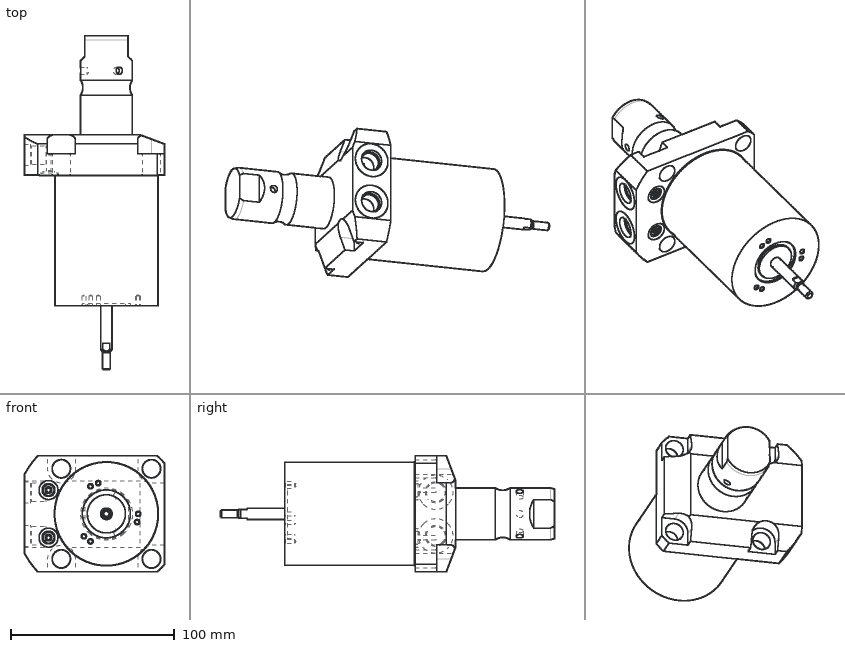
import cadquery as cq
import math


PLATE_LEFT = 50.0
PLATE_RIGHT = 35.5
PLATE_HALF_HEIGHT = 70.87 / 2
PLATE_THICKNESS = 24.7
LEFT_CORNER_WIDTH = 8.1
LEFT_CORNER_HEIGHT = 11.3
LEFT_CORNER_RADIUS = 55.0
RIGHT_CORNER_WIDTH = 4.5
RIGHT_CORNER_HEIGHT = 4.6
RIGHT_CORNER_RADIUS = 47.0
BEVEL_DEPTH = 5.7
BEVEL_WIDTH = 15.2

BOLT_OFFSET = 27.5
BOLT_DIAMETER = 11.0
POCKET_DIAMETER = 17.0
POCKET_FLOOR_Y = 13.0

BARREL_DIAMETER = 63.0
BARREL_FRONT = -79.7
STEP_DIAMETER = 63.5
STEP_HEIGHT = 0.5

FACE_GROOVE_OUTER_DIAMETER = 29.3
FACE_GROOVE_INNER_DIAMETER = 23.3
FACE_GROOVE_DEPTH = 1.5
FACE_HOLE_CIRCLE_RADIUS = 19.4
FACE_HOLE_DIAMETER = 2.4
FACE_HOLE_MOUTH_DIAMETER = 3.2
FACE_HOLE_DEPTH = 6.0
FACE_HOLE_ANGLES = (0, 120, 240)
FACE_HOLE_PAIR_ANGLE = 15.0

ROD_DIAMETER = 7.0
ROD_LENGTH = 27.8
ROD_CHAMFER_LENGTH = 1.2
ROD_CHAMFER_RADIAL = 0.85
ROD_FLAT_WIDTH = 5.5
ROD_FLAT_LENGTH = 5.0
TIP_DIAMETER = 4.9
NECK_DIAMETER = 4.7
NECK_LENGTH = 1.0
TIP_LENGTH = 11.34
TIP_CHAMFER = 0.8

TUBE_DIAMETER = 31.7
TUBE_REAR = 85.0
TUBE_CHAMFER_LENGTH = 2.5
TUBE_CHAMFER_ANGLE = 15.0
TUBE_CHAMFER_RADIAL = TUBE_CHAMFER_LENGTH * math.tan(math.radians(TUBE_CHAMFER_ANGLE))
TUBE_GROOVE_WIDTH = 9.1
TUBE_GROOVE_DEPTH = 1.4
TUBE_GROOVE_CENTRE = TUBE_REAR - 31.7
TUBE_FLAT_WIDTH = 26.5
TUBE_FLAT_LENGTH = 12.7
TUBE_HOLE_DIAMETER = 4.3
TUBE_HOLE_DEPTH = 4.0
TUBE_HOLE_Y = TUBE_REAR - 21.3
TUBE_HOLE_ANGLES = (60, 180, 300)

SIDE_PORT_Z = 13.3
SIDE_PORT_DIAMETER = 11.4
SIDE_PORT_MOUTH_DIAMETER = 12.8
SIDE_PORT_DEPTH = 13.0
SIDE_PORT_MOUTH_DEPTH = 3.5
SPOTFACE_DIAMETER = 21.0
SPOTFACE_DEPTH = 0.1

FRONT_PORT_X = -35.3
FRONT_PORT_Z = 14.5
FRONT_PORT_DIAMETER = 2.6
FRONT_PORT_MOUTH_DIAMETER = 4.0
FRONT_PORT_DEPTH = 12.5
SEAT_RECESS_DIAMETER = 6.8
SEAT_RECESS_DEPTH = 1.0
SEAL_OUTER_DIAMETER = 11.6
SEAL_CORD = 1.9
SEAL_PROTRUSION = 0.5
SEAL_SEAT_DEPTH = SEAL_CORD - SEAL_PROTRUSION

DRILL_POINT_ANGLE = 118.0

SIDES = (-1, 1)


def cylinder(diameter, length, start, direction):
    """Solid cylinder from a start point along a direction."""
    solid = cq.Solid.makeCylinder(diameter / 2, length, cq.Vector(*start), cq.Vector(*direction))
    return cq.Workplane(solid)


def countersink(mouth_diameter, bore_diameter, start, direction):
    """45 degree cone that narrows from a mouth at the start point to a bore."""
    depth = (mouth_diameter - bore_diameter) / 2
    return cq.Workplane(
        cq.Solid.makeCone(
            mouth_diameter / 2, bore_diameter / 2, depth, cq.Vector(*start), cq.Vector(*direction)
        )
    )


def drilled_hole(diameter, depth, start, direction):
    """Blind hole with full diameter to its depth and a conical drill point beyond."""
    tip_start = cq.Vector(*start) + cq.Vector(*direction) * depth
    tip_length = diameter / 2 / math.tan(math.radians(DRILL_POINT_ANGLE / 2))
    tip = cq.Solid.makeCone(diameter / 2, 0, tip_length, tip_start, cq.Vector(*direction))
    return cylinder(diameter, depth, start, direction).union(cq.Workplane(tip))


def box(x_range, y_range, z_range):
    """Axis-aligned box given by its limits."""
    sizes = [end - start for start, end in (x_range, y_range, z_range)]
    corner = cq.Vector(x_range[0], y_range[0], z_range[0])
    return cq.Workplane(cq.Solid.makeBox(*sizes, corner))


def make_plate():
    """Flange plate with arc corners and bevels on the right, top and bottom rear edges."""
    top = PLATE_HALF_HEIGHT
    plate = (
        cq.Workplane("XZ")
        .moveTo(-PLATE_LEFT + LEFT_CORNER_WIDTH, top)
        .lineTo(PLATE_RIGHT - RIGHT_CORNER_WIDTH, top)
        .radiusArc((PLATE_RIGHT, top - RIGHT_CORNER_HEIGHT), RIGHT_CORNER_RADIUS)
        .lineTo(PLATE_RIGHT, -top + RIGHT_CORNER_HEIGHT)
        .radiusArc((PLATE_RIGHT - RIGHT_CORNER_WIDTH, -top), RIGHT_CORNER_RADIUS)
        .lineTo(-PLATE_LEFT + LEFT_CORNER_WIDTH, -top)
        .radiusArc((-PLATE_LEFT, -top + LEFT_CORNER_HEIGHT), LEFT_CORNER_RADIUS)
        .lineTo(-PLATE_LEFT, top - LEFT_CORNER_HEIGHT)
        .radiusArc((-PLATE_LEFT + LEFT_CORNER_WIDTH, top), LEFT_CORNER_RADIUS)
        .close()
        .extrude(-PLATE_THICKNESS)
    )
    bevel_start = PLATE_THICKNESS - BEVEL_DEPTH
    right_bevel = (
        cq.Workplane("XY")
        .moveTo(PLATE_RIGHT, bevel_start)
        .lineTo(PLATE_RIGHT, PLATE_THICKNESS)
        .lineTo(PLATE_RIGHT - BEVEL_WIDTH, PLATE_THICKNESS)
        .close()
        .extrude(PLATE_HALF_HEIGHT, both=True)
    )
    top_bevel = (
        cq.Workplane("YZ")
        .moveTo(bevel_start, PLATE_HALF_HEIGHT)
        .lineTo(PLATE_THICKNESS, PLATE_HALF_HEIGHT)
        .lineTo(PLATE_THICKNESS, PLATE_HALF_HEIGHT - BEVEL_WIDTH)
        .close()
        .extrude(PLATE_LEFT, both=True)
    )
    return plate.cut(right_bevel).cut(top_bevel).cut(top_bevel.mirror("XY"))


def make_bolt_cut(x, z):
    """Bolt hole and rear pocket; every pocket opens up or down, the right ones also sideways."""
    radius = POCKET_DIAMETER / 2
    pocket_y = (POCKET_FLOOR_Y, PLATE_THICKNESS)
    inner_z = z - math.copysign(radius, z)
    open_z = math.copysign(PLATE_HALF_HEIGHT, z)
    cutter = cylinder(BOLT_DIAMETER, PLATE_THICKNESS, (x, 0, z), (0, 1, 0))
    pocket_depth = PLATE_THICKNESS - POCKET_FLOOR_Y
    cutter = cutter.union(cylinder(POCKET_DIAMETER, pocket_depth, (x, POCKET_FLOOR_Y, z), (0, 1, 0)))
    cutter = cutter.union(box((x - radius, x + radius), pocket_y, sorted((z, open_z))))
    if x > 0:
        cutter = cutter.union(box((x, PLATE_RIGHT), pocket_y, sorted((inner_z, open_z))))
    return cutter


def make_turned_body():
    """Barrel, sensing rod and rear tube as one turned shape about the Y axis."""
    rod_radius = ROD_DIAMETER / 2
    tip_radius = TIP_DIAMETER / 2
    neck_radius = NECK_DIAMETER / 2
    tube_radius = TUBE_DIAMETER / 2
    rod_end = BARREL_FRONT - ROD_LENGTH
    tip_end = rod_end - TIP_LENGTH
    groove_front = TUBE_GROOVE_CENTRE - TUBE_GROOVE_WIDTH / 2
    groove_rear = TUBE_GROOVE_CENTRE + TUBE_GROOVE_WIDTH / 2
    return (
        cq.Workplane("XY")
        .moveTo(0, tip_end)
        .lineTo(tip_radius - TIP_CHAMFER, tip_end)
        .lineTo(tip_radius, tip_end + TIP_CHAMFER)
        .lineTo(tip_radius, rod_end - NECK_LENGTH)
        .lineTo(neck_radius, rod_end - NECK_LENGTH)
        .lineTo(neck_radius, rod_end)
        .lineTo(rod_radius - ROD_CHAMFER_RADIAL, rod_end)
        .lineTo(rod_radius, rod_end + ROD_CHAMFER_LENGTH)
        .lineTo(rod_radius, BARREL_FRONT)
        .lineTo(BARREL_DIAMETER / 2, BARREL_FRONT)
        .lineTo(BARREL_DIAMETER / 2, -STEP_HEIGHT)
        .lineTo(STEP_DIAMETER / 2, -STEP_HEIGHT)
        .lineTo(STEP_DIAMETER / 2, 0)
        .lineTo(tube_radius, 0)
        .lineTo(tube_radius, groove_front)
        .threePointArc((tube_radius - TUBE_GROOVE_DEPTH, TUBE_GROOVE_CENTRE), (tube_radius, groove_rear))
        .lineTo(tube_radius, TUBE_REAR - TUBE_CHAMFER_LENGTH)
        .lineTo(tube_radius - TUBE_CHAMFER_RADIAL, TUBE_REAR)
        .lineTo(0, TUBE_REAR)
        .close()
        .revolve(360, (0, 0, 0), (0, 1, 0))
    )


def make_rod_flat(side):
    """Wrench flat at the end of the rod's thick part, above or below the axis."""
    rod_end = BARREL_FRONT - ROD_LENGTH
    z_range = sorted((side * ROD_FLAT_WIDTH / 2, side * ROD_DIAMETER))
    return box((-ROD_DIAMETER, ROD_DIAMETER), (rod_end, rod_end + ROD_FLAT_LENGTH), z_range)


def make_tube_flat(side):
    """Wrench flat on the left or right of the tube, running out at 45 degrees."""
    flat_x = TUBE_FLAT_WIDTH / 2
    flat_front = TUBE_REAR - TUBE_FLAT_LENGTH
    return (
        cq.Workplane("XY")
        .moveTo(side * flat_x, TUBE_REAR)
        .lineTo(side * flat_x, flat_front)
        .lineTo(side * TUBE_DIAMETER, flat_front - (TUBE_DIAMETER - flat_x))
        .lineTo(side * TUBE_DIAMETER, TUBE_REAR)
        .close()
        .extrude(TUBE_DIAMETER, both=True)
    )


def make_tube_hole(angle):
    """Blind radial hole in the tube."""
    direction = (-math.cos(math.radians(angle)), 0, -math.sin(math.radians(angle)))
    radius = TUBE_DIAMETER / 2
    start = (-direction[0] * radius, TUBE_HOLE_Y, -direction[2] * radius)
    return drilled_hole(TUBE_HOLE_DIAMETER, TUBE_HOLE_DEPTH, start, direction)


def make_face_groove():
    """Annular groove around the rod in the barrel's front face."""
    start = (0, BARREL_FRONT, 0)
    outer = cylinder(FACE_GROOVE_OUTER_DIAMETER, FACE_GROOVE_DEPTH, start, (0, 1, 0))
    return outer.cut(cylinder(FACE_GROOVE_INNER_DIAMETER, FACE_GROOVE_DEPTH, start, (0, 1, 0)))


def make_face_hole(angle):
    """Small countersunk blind hole in the barrel's front face."""
    x = FACE_HOLE_CIRCLE_RADIUS * math.cos(math.radians(angle))
    z = FACE_HOLE_CIRCLE_RADIUS * math.sin(math.radians(angle))
    start = (x, BARREL_FRONT, z)
    hole = drilled_hole(FACE_HOLE_DIAMETER, FACE_HOLE_DEPTH, start, (0, 1, 0))
    return hole.union(countersink(FACE_HOLE_MOUTH_DIAMETER, FACE_HOLE_DIAMETER, start, (0, 1, 0)))


def make_side_port(side):
    """Spotfaced port with a wider mouth in the plate's left face."""
    y = PLATE_THICKNESS / 2
    z = side * SIDE_PORT_Z
    start = (-PLATE_LEFT, y, z)
    inward = (1, 0, 0)
    spotface = cylinder(SPOTFACE_DIAMETER, SPOTFACE_DEPTH, start, inward)
    mouth = cylinder(SIDE_PORT_MOUTH_DIAMETER, SIDE_PORT_MOUTH_DEPTH, start, inward)
    mouth_end = (-PLATE_LEFT + SIDE_PORT_MOUTH_DEPTH, y, z)
    cone = countersink(SIDE_PORT_MOUTH_DIAMETER, SIDE_PORT_DIAMETER, mouth_end, inward)
    port = cylinder(SIDE_PORT_DIAMETER, SIDE_PORT_DEPTH, start, inward)
    return port.union(cone).union(mouth).union(spotface)


def make_front_port(side):
    """Ring seat in the plate's front face with a stepped, countersunk passage behind it."""
    z = side * FRONT_PORT_Z
    start = (FRONT_PORT_X, 0, z)
    inward = (0, 1, 0)
    recess_floor = SEAL_SEAT_DEPTH + SEAT_RECESS_DEPTH
    seat = cylinder(SEAL_OUTER_DIAMETER, SEAL_SEAT_DEPTH, start, inward)
    recess = cylinder(SEAT_RECESS_DIAMETER, recess_floor, start, inward)
    floor_centre = (FRONT_PORT_X, recess_floor, z)
    cone = countersink(FRONT_PORT_MOUTH_DIAMETER, FRONT_PORT_DIAMETER, floor_centre, inward)
    passage = cylinder(FRONT_PORT_DIAMETER, FRONT_PORT_DEPTH, start, inward)
    return seat.union(recess).union(cone).union(passage)


def make_housing():
    """Plate, barrel, rod and tube with all holes, flats and grooves."""
    housing = make_plate().union(make_turned_body())
    for x in (-BOLT_OFFSET, BOLT_OFFSET):
        for z in (-BOLT_OFFSET, BOLT_OFFSET):
            housing = housing.cut(make_bolt_cut(x, z))
    for side in SIDES:
        housing = housing.cut(make_rod_flat(side))
        housing = housing.cut(make_tube_flat(side))
        housing = housing.cut(make_side_port(side))
        housing = housing.cut(make_front_port(side))
    for angle in TUBE_HOLE_ANGLES:
        housing = housing.cut(make_tube_hole(angle))
    housing = housing.cut(make_face_groove())
    for angle in FACE_HOLE_ANGLES:
        housing = housing.cut(make_face_hole(angle))
        housing = housing.cut(make_face_hole(angle - FACE_HOLE_PAIR_ANGLE))
    return housing


def make_seal_ring(side):
    """Round-cord sealing ring resting on its seat and standing proud of the plate."""
    cord_radius = SEAL_CORD / 2
    centre = cq.Vector(FRONT_PORT_X, SEAL_SEAT_DEPTH - cord_radius, side * FRONT_PORT_Z)
    ring_radius = SEAL_OUTER_DIAMETER / 2 - cord_radius
    return cq.Workplane(cq.Solid.makeTorus(ring_radius, cord_radius, centre, cq.Vector(0, 1, 0)))


housing = make_housing().solids()
seal_rings = [make_seal_ring(side) for side in SIDES]

result = cq.Compound.makeCompound([housing.val(), *[ring.val() for ring in seal_rings]])